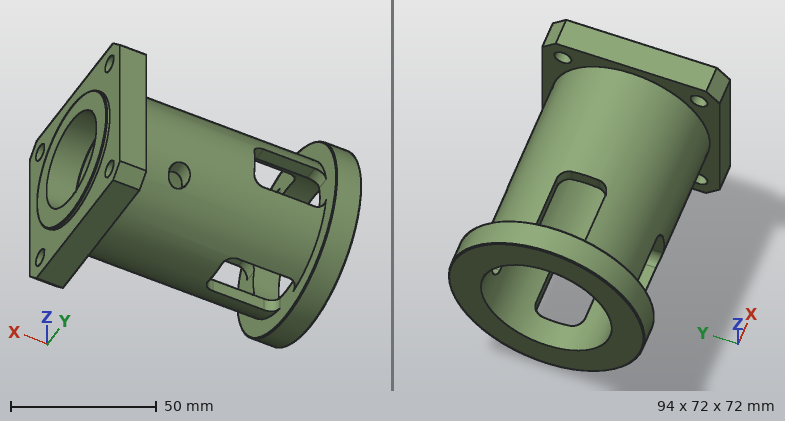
import cadquery as cq

length = 94.0
flange_thickness = 10.0
plate_thickness = 10.3
spigot_length = 1.3
plate_end = length - spigot_length
plate_start = plate_end - plate_thickness

flange_diameter = 72.0
body_diameter = 58.0
spigot_diameter = 50.6
main_bore_diameter = 48.0
end_bore_diameter = 36.0
edge_chamfer = 0.4
lip_chamfer = 0.5

plate_side = 65.2
plate_corner_chamfer = 5.0
bolt_spacing = 50.0
bolt_hole_diameter = 6.2

window_length = 28.0
window_width = 18.05
window_radius = 4.0
cross_hole_diameter = 8.0
cross_hole_x = 65.2
cross_hole_z = -15.0


def cylinder(diameter, start, end):
    """Solid cylinder on the X axis between two stations."""
    return cq.Workplane("YZ").workplane(offset=start).circle(diameter / 2).extrude(end - start)


def make_plate():
    """Square plate with clipped corners and four bolt holes."""
    return (
        cq.Workplane("YZ")
        .workplane(offset=plate_start)
        .rect(plate_side, plate_side)
        .extrude(plate_thickness)
        .edges("|X")
        .chamfer(plate_corner_chamfer)
        .faces(">X")
        .workplane(origin=(plate_end, 0, 0))
        .rect(bolt_spacing, bolt_spacing, forConstruction=True)
        .vertices()
        .hole(bolt_hole_diameter)
    )


def make_window(plane, normal_axis):
    """Rounded cutter starting at the flange and crossing the whole body."""
    return (
        cq.Workplane(plane)
        .center(flange_thickness + window_length / 2, 0)
        .rect(window_length, window_width)
        .extrude(flange_diameter / 2, both=True)
        .edges("|" + normal_axis)
        .fillet(window_radius)
    )


flange = cylinder(flange_diameter, 0, flange_thickness).edges().chamfer(edge_chamfer)
body = cylinder(body_diameter, flange_thickness, plate_start)
spigot = cylinder(spigot_diameter, plate_end, length).faces(">X").edges().chamfer(edge_chamfer)

main_bore = cylinder(main_bore_diameter, 0, plate_start)
end_bore = cylinder(end_bore_diameter, plate_start, length)

cross_hole = (
    cq.Workplane("XZ")
    .center(cross_hole_x, cross_hole_z)
    .circle(cross_hole_diameter / 2)
    .extrude(flange_diameter / 2, both=True)
)

result = flange.union(body).union(make_plate()).union(spigot)
result = result.cut(main_bore).cut(end_bore)
result = result.cut(make_window("XZ", "Y")).cut(make_window("XY", "Z"))
result = result.cut(cross_hole)

lip_reach = (end_bore_diameter + main_bore_diameter) / 4
lip_edge = cq.selectors.BoxSelector(
    (plate_start - lip_chamfer, -lip_reach, -lip_reach),
    (plate_start + lip_chamfer, lip_reach, lip_reach),
    boundingbox=True,
)
result = result.edges(lip_edge).chamfer(lip_chamfer)